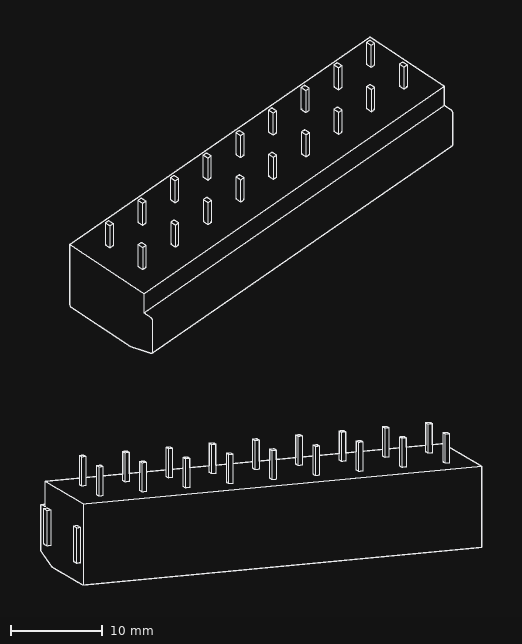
import cadquery as cq

housing_width = 12.6
housing_length = 46.75
housing_height = 9.15
top_width = 11.35
ledge_height = 6.35
floor_width = 9.25
slope_height = 1.1
edge_radius = 0.3

pin_count = 9
pin_row_length = 40.65
pin_pitch = pin_row_length / (pin_count - 1)
pin_size_x = 0.7
pin_size_y = 0.5
pin_height = 3.25
row_count = 2
first_row_x = 3.15
row_spacing = 5.0
first_pin_y = 2.95

pad_count = 2
pad_width = 1.0
pad_depth = 0.45
pad_height = 3.95
first_pad_x = 1.35
pad_spacing = 8.7


def make_housing():
    """Stepped profile with a sloped lower corner and small rounded edges."""
    block = (
        cq.Workplane("XZ")
        .lineTo(floor_width, 0)
        .lineTo(housing_width, slope_height)
        .lineTo(housing_width, ledge_height)
        .lineTo(top_width, ledge_height)
        .lineTo(top_width, housing_height)
        .lineTo(0, housing_height)
        .close()
        .extrude(-housing_length)
    )
    lower_edge = block.faces("<X").edges("|Y and <Z")
    outer_edges = block.faces(">X").edges("|Y")
    return lower_edge.add(outer_edges).fillet(edge_radius)


def make_pins():
    """Rows of rectangular pins."""
    centers = [
        (first_row_x + row * row_spacing, first_pin_y + i * pin_pitch)
        for row in range(row_count)
        for i in range(pin_count)
    ]
    return (
        cq.Workplane("XY", origin=(0, 0, housing_height))
        .pushPoints(centers)
        .rect(pin_size_x, pin_size_y)
        .extrude(pin_height)
    )


def make_pads():
    """Upright pads whose tops are level with the ledge."""
    center_z = ledge_height - pad_height / 2
    centers = [(first_pad_x + i * pad_spacing, center_z) for i in range(pad_count)]
    return (
        cq.Workplane("XZ", origin=(0, housing_length, 0))
        .pushPoints(centers)
        .rect(pad_width, pad_height)
        .extrude(-pad_depth)
    )


result = make_housing().union(make_pins()).union(make_pads())